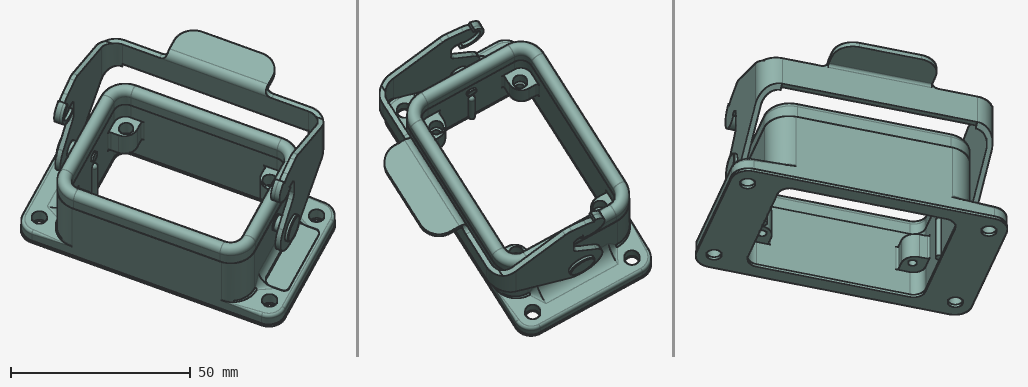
import cadquery as cq
import math

length = 80.0
width = 43.0
overhang = 0.1
sides = (-1, 1)

gasket_thick = 1.0
flange_top = 5.0
flange_length = length - 2 * overhang
housing_width = width - 2 * overhang
flange_corner_r = 5.0
flange_round_r = 1.0
screw_hole_d = 4.3
screw_x = 35.0
screw_y = 16.0

seal_length = 59.6
seal_thick = 4.0
seal_bottom = 23.0
seal_top = 28.7
seal_corner_r = 7.5
opening_length = seal_length - 2 * seal_thick
opening_width = width - 2 * seal_thick
opening_corner_r = seal_corner_r - seal_thick
wall_length = seal_length - 2 * overhang
wall_corner_r = 7.0

ramp_r = 5.0
ramp_half = 11.6
ramp_end = 14.4
runout = 0.04

flare_size = 0.6

pad_length = 7.0
pad_width = 23.1
pad_x = 34.8
pad_rise = 0.2
pad_corner_r = 1.5

boss_x = 21.8
boss_y = 13.5
boss_wall = 3.0
boss_corner_r = 4.0
boss_bottom = 9.0
boss_top = 17.3
boss_root_r = 0.6
boss_bore_d = 4.0
boss_bore_depth = 4.8
boss_hole_d = 2.5

rib_r = 1.0
rib_x = 25.4
dome_start = 14.4

pivot_z = 18.9
pin_d = 4.8
pin_tail_d = 3.0
pin_tail_x = 25.2
pin_step_x = 30.2
head_d = 8.0
head_thick = 1.0
head_chamfer = 0.2

plate = 1.6
lever_half = 34.3
lever_back = 27.0
lever_bend_r = 6.0
back_bottom = 29.1
back_top = 38.4
arm_end_r = 7.0
hook_y = -3.0
hook_z = 41.5
hook_r = 4.7
lip_thick = 1.2
lip_reach = 1.0
lip_top_angle = 111
lip_bottom_angle = 308
tab_end = 36.9
tab_half = 15.0
tab_top = 40.8
tab_corner_r = 6.0
tab_inner_r = 0.8
tab_root_r = 2.0


def rounded_block(x_size, y_size, corner_r, z_low, z_high):
    block = cq.Workplane("XY", origin=(0, 0, z_low)).rect(x_size, y_size).extrude(z_high - z_low)
    return block.edges("|Z").fillet(corner_r)


def opening(z_low, z_high):
    return rounded_block(opening_length, opening_width, opening_corner_r, z_low, z_high)


def screw_holes():
    spots = [(sx * screw_x, sy * screw_y) for sx in sides for sy in sides]
    return cq.Workplane("XY").pushPoints(spots).circle(screw_hole_d / 2).extrude(flange_top)


def x_cylinder(diameter, x_start, x_end):
    """Cylinder on the pivot axis."""
    start = cq.Workplane("YZ", origin=(x_start, 0, pivot_z))
    return start.circle(diameter / 2).extrude(x_end - x_start)


def cove_profile(workplane, leg):
    """Corner filler bounded by two legs and a hollow quarter arc."""
    near = leg * (1 - math.sqrt(0.5))
    return workplane.lineTo(leg, 0).threePointArc((near, near), (0, leg)).close()


def tapered_cove(plane, leg, taper_length):
    start = cove_profile(cq.Workplane(plane), leg)
    return cove_profile(start.workplane(offset=taper_length), runout).loft(combine=True)


def mirrored_pair(body, plane):
    return body.union(body.mirror(plane))


def housing_flange():
    """Plate with a rounded rim; the rounding runs out to nothing along the long sides."""
    rim = rounded_block(flange_length, housing_width, flange_corner_r, gasket_thick, flange_top)
    rim = rim.faces(">Z").edges().fillet(flange_round_r)
    straight = flange_length / 2 - flange_corner_r
    middle = cq.Workplane("XY", origin=(0, 0, gasket_thick)).rect(2 * straight, housing_width)
    flange = rim.union(middle.extrude(flange_top - gasket_thick))

    rim_corner = (straight, housing_width / 2, flange_top)
    corner = cq.Plane(origin=rim_corner, xDir=(0, 0, -1), normal=(-1, 0, 0))
    wall_straight = wall_length / 2 - wall_corner_r
    taper = tapered_cove(corner, flange_round_r, straight - wall_straight)
    tapers = mirrored_pair(mirrored_pair(taper, "YZ"), "XZ")
    return flange.cut(tapers)


def end_ramp():
    """Hollow ramp at the foot of the +X wall, with tapered ends."""
    foot = (wall_length / 2, -ramp_half, flange_top)
    plane = cq.Plane(origin=foot, xDir=(1, 0, 0), normal=(0, -1, 0))
    taper = tapered_cove(plane, ramp_r, ramp_end - ramp_half)
    middle = cove_profile(cq.Workplane(plane), ramp_r).extrude(-2 * ramp_half)
    return middle.union(mirrored_pair(taper, "XZ"))


def corner_flare():
    """Slanted flare around the foot of the +X +Y wall corner, running out at the long side."""
    centre_x = wall_length / 2 - wall_corner_r
    centre_y = housing_width / 2 - wall_corner_r
    growth = flare_size / 2
    foot = cq.Workplane("XY", origin=(centre_x + growth, centre_y - growth, flange_top))
    top = foot.circle(wall_corner_r + growth).workplane(offset=flare_size).center(-growth, growth)
    return top.circle(wall_corner_r).loft(combine=True)


def name_pad(z_low, z_high):
    return rounded_block(pad_length, pad_width, pad_corner_r, z_low, z_high).translate((pad_x, 0, 0))


def corner_boss():
    """Boss filling the +X +Y corner of the opening, with small root fillets at the walls."""
    x_low = boss_x - boss_wall
    y_low = boss_y - boss_wall
    x_wall = opening_length / 2
    y_wall = opening_width / 2
    height = boss_top - boss_bottom
    root = boss_root_r
    bend = root * (1 - math.sqrt(0.5))
    corner = boss_corner_r
    corner_bend = corner * (1 - math.sqrt(0.5))
    into_wall = 0.8
    outline = (
        cq.Workplane("XY", origin=(0, 0, boss_bottom))
        .moveTo(x_wall, y_low - root)
        .threePointArc((x_wall - bend, y_low - bend), (x_wall - root, y_low))
        .lineTo(x_low + corner, y_low)
        .threePointArc((x_low + corner_bend, y_low + corner_bend), (x_low, y_low + corner))
        .lineTo(x_low, y_wall - root)
        .threePointArc((x_low - bend, y_wall - bend), (x_low - root, y_wall))
        .lineTo(x_low - root, y_wall + into_wall)
        .lineTo(x_wall, y_wall + into_wall)
        .lineTo(x_wall + into_wall, y_wall)
        .lineTo(x_wall + into_wall, y_low - root)
        .close()
    )
    boss = outline.extrude(height)
    axis_top = cq.Workplane("XY", origin=(boss_x, boss_y, boss_top))
    bore = axis_top.circle(boss_bore_d / 2).extrude(-boss_bore_depth)
    hole = axis_top.circle(boss_hole_d / 2).extrude(-height)
    return boss.cut(bore).cut(hole)


def locating_rib():
    foot = cq.Workplane("XY", origin=(rib_x, 0, gasket_thick))
    post = foot.circle(rib_r).extrude(dome_start - gasket_thick)
    dome = cq.Workplane("XY", origin=(rib_x, 0, dome_start)).sphere(rib_r)
    return post.union(dome)


def make_housing():
    walls = rounded_block(wall_length, housing_width, wall_corner_r, gasket_thick, seal_bottom)
    body = housing_flange().union(walls)
    body = body.union(mirrored_pair(mirrored_pair(corner_flare(), "YZ"), "XZ"))
    body = body.union(mirrored_pair(end_ramp(), "YZ"))
    body = body.cut(name_pad(flange_top + pad_rise, flange_top + ramp_r))
    body = body.union(name_pad(flange_top, flange_top + pad_rise))
    body = body.cut(opening(gasket_thick, seal_bottom))
    body = body.union(mirrored_pair(mirrored_pair(corner_boss(), "YZ"), "XZ"))
    body = body.union(mirrored_pair(locating_rib(), "YZ"))
    body = body.union(mirrored_pair(x_cylinder(pin_d, opening_length / 2, pin_step_x), "YZ"))
    body = body.cut(x_cylinder(pin_tail_d, -pin_step_x, pin_step_x))
    return body.cut(screw_holes())


def make_flange_gasket():
    sheet = rounded_block(length, width, flange_corner_r, 0, gasket_thick)
    return sheet.cut(opening(0, gasket_thick)).cut(screw_holes())


def make_rim_seal():
    """Ring with a half-round top, swept around the rim of the housing."""
    half = seal_thick / 2
    round_start = seal_top - half
    mid_length = seal_length - seal_thick
    mid_width = width - seal_thick
    guide = rounded_block(mid_length, mid_width, seal_corner_r - half, seal_bottom, seal_top)
    profile = (
        cq.Workplane("YZ", origin=(0, mid_width / 2, seal_bottom))
        .moveTo(-half, 0)
        .lineTo(half, 0)
        .lineTo(half, round_start - seal_bottom)
        .threePointArc((0, seal_top - seal_bottom), (-half, round_start - seal_bottom))
        .close()
    )
    return profile.sweep(guide.faces("<Z").wires())


def make_pin(side):
    tail = x_cylinder(pin_tail_d, pin_tail_x, pin_step_x)
    shank = x_cylinder(pin_d, pin_step_x, lever_half)
    head = x_cylinder(head_d, lever_half, lever_half + head_thick)
    head = head.faces(">X").edges().chamfer(head_chamfer)
    pin = tail.union(shank).union(head)
    return pin if side > 0 else pin.mirror("YZ")


def hook_point(radius, angle):
    """Point (Y, Z) around the hook centre; the angle runs from +Y towards +Z."""
    turn = math.radians(angle)
    return (hook_y + radius * math.cos(turn), hook_z + radius * math.sin(turn))


def arm_end_point(angle):
    """Point (Y, Z) on the round end of the arm, about the pivot."""
    turn = math.radians(angle)
    return (arm_end_r * math.cos(turn), pivot_z + arm_end_r * math.sin(turn))


def arm_outline():
    """Side shape of the lever as a solid across its whole X width."""
    slot_y = 2.3
    slot_r = 1.9
    slot_top = 38.8
    neck_angle = 135
    neck_r = 3.2
    crest = (4.1, 47.2)
    crest_r = 3.6
    shoulder_y = 24.6
    brow = (-1.7, 46.0)
    brow_mid = (-3.1, 45.5)

    back_distance = math.hypot(lever_back, back_bottom - pivot_z)
    back_angle = math.degrees(math.atan2(back_bottom - pivot_z, lever_back))
    lower_angle = back_angle - math.degrees(math.acos(arm_end_r / back_distance))
    neck = arm_end_point(neck_angle)
    neck_corner = (slot_y, neck[1] + slot_y - neck[0])
    lip_inner_r = hook_r - lip_thick
    slot_bend = slot_r * math.sqrt(0.5)
    slot_centre = (slot_y - slot_r, slot_top - slot_r)
    slot_round = (slot_centre[0] + slot_bend, slot_centre[1] + slot_bend)
    end_middle = arm_end_point((lower_angle + neck_angle - 360) / 2)
    hook_middle = hook_point(hook_r, (lip_top_angle + lip_bottom_angle) / 2)

    outline = (
        cq.Workplane("YZ", origin=(-lever_half, 0, 0))
        .moveTo(lever_back, back_bottom)
        .lineTo(*arm_end_point(lower_angle))
        .threePointArc(end_middle, neck)
        .lineTo(*neck_corner)
        .lineTo(slot_y, slot_centre[1])
        .threePointArc(slot_round, (slot_centre[0], slot_top))
        .lineTo(*hook_point(lip_inner_r, lip_bottom_angle))
        .lineTo(*hook_point(hook_r, lip_bottom_angle))
        .threePointArc(hook_middle, hook_point(hook_r, lip_top_angle))
        .lineTo(*hook_point(lip_inner_r, lip_top_angle))
        .threePointArc(brow_mid, brow)
        .lineTo(*crest)
        .lineTo(shoulder_y, back_top)
        .lineTo(lever_back, back_top)
        .close()
        .extrude(2 * lever_half)
    )
    outline = outline.edges(cq.selectors.NearestToPointSelector((0, *neck_corner))).fillet(neck_r)
    return outline.edges(cq.selectors.NearestToPointSelector((0, *crest))).fillet(crest_r)


def bent_strip():
    """U-shaped strip, open towards -Y and taller than the lever."""
    front = -16.0
    height = 64.0
    depth = lever_back - front
    centre = (lever_back + front) / 2
    outer = cq.Workplane("XY").center(0, centre).rect(2 * lever_half, depth).extrude(height)
    outer = outer.edges("|Z and >Y").fillet(lever_bend_r)
    inner_half = lever_half - plate
    inner = cq.Workplane("XY").center(0, centre - plate).rect(2 * inner_half, depth).extrude(height)
    inner = inner.edges("|Z and >Y").fillet(lever_bend_r - plate)
    return outer.cut(inner)


def hook_lip():
    """Curved lip along the rim of the +X hook, standing inward of the arm."""
    mid_angle = (lip_top_angle + lip_bottom_angle) / 2
    inner_r = hook_r - lip_thick
    return (
        cq.Workplane("YZ", origin=(lever_half - plate - lip_reach, 0, 0))
        .moveTo(*hook_point(hook_r, lip_top_angle))
        .threePointArc(hook_point(hook_r, mid_angle), hook_point(hook_r, lip_bottom_angle))
        .lineTo(*hook_point(inner_r, lip_bottom_angle))
        .threePointArc(hook_point(inner_r, mid_angle), hook_point(inner_r, lip_top_angle))
        .close()
        .extrude(lip_reach)
    )


def thumb_tab():
    """Tab bent back from the top of the back panel, flared where it leaves the panel."""
    bend_r = tab_inner_r + plate
    panel_front = lever_back - plate
    depth = tab_end - panel_front
    height = tab_top - back_bottom
    blank_half = tab_half + tab_root_r
    blank = (
        cq.Workplane("YZ", origin=(-blank_half, 0, 0))
        .moveTo(panel_front, back_bottom)
        .lineTo(lever_back, back_bottom)
        .lineTo(lever_back, tab_top - bend_r)
        .radiusArc((lever_back + tab_inner_r, tab_top - plate), tab_inner_r)
        .lineTo(tab_end, tab_top - plate)
        .lineTo(tab_end, tab_top)
        .lineTo(lever_back + tab_inner_r, tab_top)
        .radiusArc((panel_front, tab_top - bend_r), -bend_r)
        .close()
        .extrude(2 * blank_half)
    )
    root_bend = tab_root_r * (1 - math.sqrt(0.5))
    root_top = back_top + tab_root_r
    tab_front = (
        cq.Workplane("XZ", origin=(0, tab_end, 0))
        .moveTo(-blank_half, back_top)
        .threePointArc((-tab_half - root_bend, back_top + root_bend), (-tab_half, root_top))
        .lineTo(-tab_half, tab_top)
        .lineTo(tab_half, tab_top)
        .lineTo(tab_half, root_top)
        .threePointArc((tab_half + root_bend, back_top + root_bend), (blank_half, back_top))
        .lineTo(blank_half, back_bottom)
        .lineTo(-blank_half, back_bottom)
        .close()
        .extrude(depth)
    )
    tab_plan = (
        cq.Workplane("XY", origin=(0, (tab_end + panel_front) / 2, back_bottom))
        .rect(2 * tab_half, depth)
        .extrude(height)
        .edges("|Z and >Y")
        .fillet(tab_corner_r)
    )
    flared = blank.intersect(tab_front)
    near_panel = cq.Workplane("XY", origin=(0, panel_front, back_bottom))
    near_panel = near_panel.rect(2 * blank_half, 2 * plate).extrude(height)
    return flared.intersect(tab_plan.union(near_panel))


def back_panel():
    """Flat panel between the two bends."""
    flat_half = lever_half - lever_bend_r
    panel = cq.Workplane("XY", origin=(0, lever_back - plate / 2, back_bottom))
    return panel.rect(2 * flat_half, plate).extrude(back_top - back_bottom)


def make_lever():
    flat_half = lever_half - lever_bend_r
    bent = bent_strip().intersect(arm_outline())
    between = cq.Workplane("XY").center(0, lever_back).rect(2 * flat_half, 2 * plate).extrude(back_bottom)
    lever = bent.cut(between).union(back_panel()).union(thumb_tab())
    lever = lever.cut(x_cylinder(pin_d, -lever_half, lever_half))
    return lever.union(mirrored_pair(hook_lip(), "YZ"), clean=False)


housing = make_housing()
flange_gasket = make_flange_gasket()
rim_seal = make_rim_seal()
lever = make_lever()
pins = [make_pin(side) for side in sides]

bodies = [housing, flange_gasket, rim_seal, lever, *pins]
result = cq.Compound.makeCompound([solid for body in bodies for solid in body.solids().vals()])